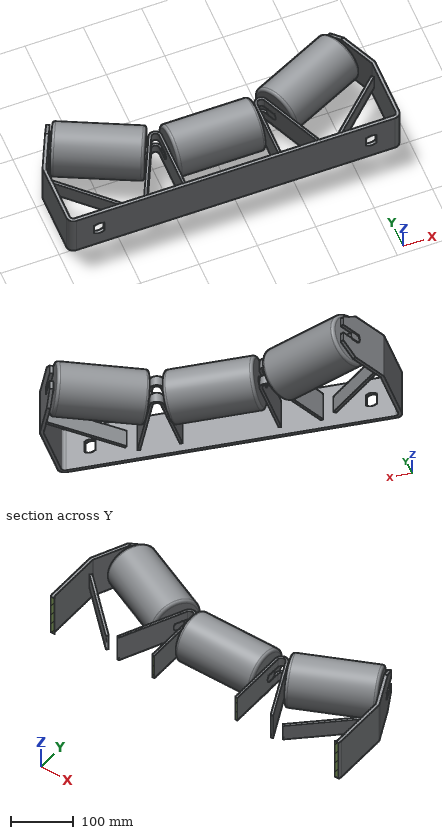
import cadquery as cq
import math


trough_angle = 25.0
sin_trough = math.sin(math.radians(trough_angle))
cos_trough = math.cos(math.radians(trough_angle))

roller_diameter = 89.0
roller_length = 150.0
roller_edge_radius = 5.0
shaft_diameter = 20.0
shaft_across_flats = 15.0
shaft_length = 167.0
shaft_flat_length = 5.5
middle_roller_y = 99.0
side_roller_x = -178.9
side_roller_y = 141.4

frame_length = 570.0
frame_width = 80.0
frame_thickness = 6.0
foot_bend_radius = 12.0
wing_bend_radius = 10.0
wing_bend_y = 115.2
wing_length = 99.0
wing_corner_along = 30.0
wing_corner_angle = 30.0
mount_hole_spacing = 466.0
mount_hole_width = 18.0
mount_hole_height = 26.0

bracket_width = 50.0
bracket_thickness = 4.5
bracket_bend_radius = 11.3
bracket_bend_y = 116.5
bracket_face_x = -79.5

brace_width = 30.0
brace_thickness = 5.0
brace_wall_y = 104.5
brace_foot_x = -174.5

wall_x = -frame_length / 2
wall_inner_x = wall_x + frame_thickness
bracket_bend_x = bracket_face_x - bracket_bend_radius


def position_on_side_axis(x, y):
    """Place of a point relative to the left-hand roller: along its axis and square to it."""
    dx = x - side_roller_x
    dy = y - side_roller_y
    return dx * cos_trough - dy * sin_trough, dx * sin_trough + dy * cos_trough


def place_on_side_axis(body):
    """Move a body built about the X axis onto the axis of the left-hand roller."""
    tilted = body.rotate((0, 0, 0), (0, 0, 1), -trough_angle)
    return tilted.translate((side_roller_x, side_roller_y, 0))


def mirrored(body):
    """Copy of a left-hand body on the right-hand half."""
    return body.mirror("YZ")


def flatted_bar(length):
    """Round shaft along X, centred on the origin, with flats facing +Z and -Z."""
    bar = cq.Workplane("YZ").circle(shaft_diameter / 2).extrude(length / 2, both=True)
    return bar.intersect(cq.Workplane("XY").box(length, shaft_diameter, shaft_across_flats))


def shaft_slot(x_start, depth):
    """Cutter for a shaft slot: seats the round of the shaft at the bottom and runs out in +Y."""
    run_out = frame_width
    channel = cq.Workplane("XY").box(depth, run_out, shaft_across_flats).translate((0, run_out / 2, 0))
    return flatted_bar(depth).union(channel).translate((x_start + depth / 2, 0, 0))



def make_roller():
    drum_end = roller_length / 2
    drum_radius = roller_diameter / 2
    shaft_radius = shaft_diameter / 2
    round_end = shaft_length / 2 - shaft_flat_length
    body = (
        cq.Workplane("XZ")
        .moveTo(-round_end, 0)
        .lineTo(-round_end, shaft_radius)
        .lineTo(-drum_end, shaft_radius)
        .lineTo(-drum_end, drum_radius - roller_edge_radius)
        .radiusArc((-drum_end + roller_edge_radius, drum_radius), roller_edge_radius)
        .lineTo(drum_end - roller_edge_radius, drum_radius)
        .radiusArc((drum_end, drum_radius - roller_edge_radius), roller_edge_radius)
        .lineTo(drum_end, shaft_radius)
        .lineTo(round_end, shaft_radius)
        .lineTo(round_end, 0)
        .close()
        .revolve(360, (0, 0, 0), (1, 0, 0))
    )
    return body.union(flatted_bar(shaft_length))



def round_bend(strip, outer_corner, inner_corner, outer_radius):
    """Round both faces of one bend in the strip."""
    corners = ((outer_corner, outer_radius), (inner_corner, outer_radius - frame_thickness))
    for (x, y), radius in corners:
        strip = strip.edges(cq.selectors.NearestToPointSelector((x, y, 0))).fillet(radius)
    return strip


def cut_wing_end(strip, wing_tip):
    """Chamfer the two corners of the wing and slot it for the roller shaft."""
    tip_along, tip_across = position_on_side_axis(*wing_tip)
    corner_height = wing_corner_along * math.tan(math.radians(wing_corner_angle))
    for side in (1, -1):
        corner = (
            cq.Workplane("YZ", origin=(tip_along, tip_across, side * frame_width / 2))
            .polyline([(0, 0), (-wing_corner_along, 0), (0, -side * corner_height)])
            .close()
            .extrude(frame_thickness)
        )
        strip = strip.cut(place_on_side_axis(corner))
    return strip.cut(place_on_side_axis(shaft_slot(tip_along, frame_thickness)))


def mount_hole(x):
    """Cutter for a mounting hole: a large round hole narrowed by two flat sides."""
    round_hole = cq.Workplane("XZ").circle(mount_hole_height / 2).extrude(-frame_thickness)
    flat_sides = cq.Workplane("XY").box(mount_hole_width, 2 * frame_thickness, mount_hole_height)
    return round_hole.intersect(flat_sides).translate((x, 0, 0))


def make_frame():
    wing_tip = (wall_x + wing_length * sin_trough, wing_bend_y + wing_length * cos_trough)
    wing_inner_tip = (wing_tip[0] + frame_thickness * cos_trough, wing_tip[1] - frame_thickness * sin_trough)
    wing_inner_bend_y = wing_bend_y - frame_thickness * math.tan(math.radians(trough_angle / 2))
    foot_corner = (wall_x, 0)
    foot_inner_corner = (wall_inner_x, frame_thickness)
    wing_corner = (wall_x, wing_bend_y)
    wing_inner_corner = (wall_inner_x, wing_inner_bend_y)

    half = (
        cq.Workplane("XY")
        .moveTo(0, 0)
        .lineTo(*foot_corner)
        .lineTo(*wing_corner)
        .lineTo(*wing_tip)
        .lineTo(*wing_inner_tip)
        .lineTo(*wing_inner_corner)
        .lineTo(*foot_inner_corner)
        .lineTo(0, frame_thickness)
        .close()
        .extrude(frame_width / 2, both=True)
    )
    half = round_bend(half, foot_corner, foot_inner_corner, foot_bend_radius)
    half = round_bend(half, wing_corner, wing_inner_corner, wing_bend_radius)
    half = cut_wing_end(half, wing_tip)

    whole = half.union(mirrored(half))
    for x in (-mount_hole_spacing / 2, mount_hole_spacing / 2):
        whole = whole.cut(mount_hole(x))
    return whole



def bracket_bend_point(radius, angle):
    """Point on the bracket bend, at an angle counted from the +X direction."""
    turn = math.radians(angle)
    return bracket_bend_x + radius * math.cos(turn), bracket_bend_y + radius * math.sin(turn)


def make_bracket():
    outer_radius = bracket_bend_radius
    inner_radius = outer_radius - bracket_thickness
    bend_angle = 180 - trough_angle
    outer_end = bracket_bend_point(outer_radius, bend_angle)
    inner_end = bracket_bend_point(inner_radius, bend_angle)

    leg_length = (inner_end[1] - frame_thickness) / cos_trough
    leg_dx = -leg_length * sin_trough
    leg_dy = -leg_length * cos_trough

    strip = (
        cq.Workplane("XY")
        .moveTo(bracket_face_x, frame_thickness)
        .lineTo(*bracket_bend_point(outer_radius, 0))
        .threePointArc(bracket_bend_point(outer_radius, bend_angle / 2), outer_end)
        .lineTo(outer_end[0] + leg_dx, outer_end[1] + leg_dy)
        .lineTo(inner_end[0] + leg_dx, inner_end[1] + leg_dy)
        .lineTo(*inner_end)
        .threePointArc(bracket_bend_point(inner_radius, bend_angle / 2), bracket_bend_point(inner_radius, 0))
        .lineTo(bracket_face_x - bracket_thickness, frame_thickness)
        .close()
        .extrude(bracket_width / 2, both=True)
    )

    upright_slot = shaft_slot(bracket_face_x - bracket_thickness, bracket_thickness)
    sloping_face = position_on_side_axis(*outer_end)[0]
    sloping_slot = shaft_slot(sloping_face, bracket_thickness)
    bend_slot = (
        cq.Workplane("XY")
        .box(2 * outer_radius, 2 * outer_radius, shaft_across_flats)
        .translate((bracket_bend_x, bracket_bend_y + outer_radius, 0))
    )
    strip = strip.cut(upright_slot.translate((0, middle_roller_y, 0)))
    strip = strip.cut(place_on_side_axis(sloping_slot))
    return strip.cut(bend_slot)



def make_brace():
    run = brace_foot_x - wall_inner_x
    drop = brace_wall_y - frame_thickness
    slope = math.degrees(math.atan2(drop, run))
    bar = cq.Workplane("XY").box(
        math.hypot(run, drop), brace_thickness, brace_width, centered=(False, False, True)
    )
    return bar.rotate((0, 0, 0), (0, 0, 1), -slope).translate((wall_inner_x, brace_wall_y, 0))


frame = make_frame()
left_bracket = make_bracket()
left_brace = make_brace()
roller = make_roller()
middle_roller = roller.translate((0, middle_roller_y, 0))
left_roller = place_on_side_axis(roller)

solids = [frame.val(), middle_roller.val()]
for left_body in (left_bracket, left_brace, left_roller):
    solids.append(left_body.val())
    solids.append(mirrored(left_body).val())

result = cq.Compound.makeCompound(solids)